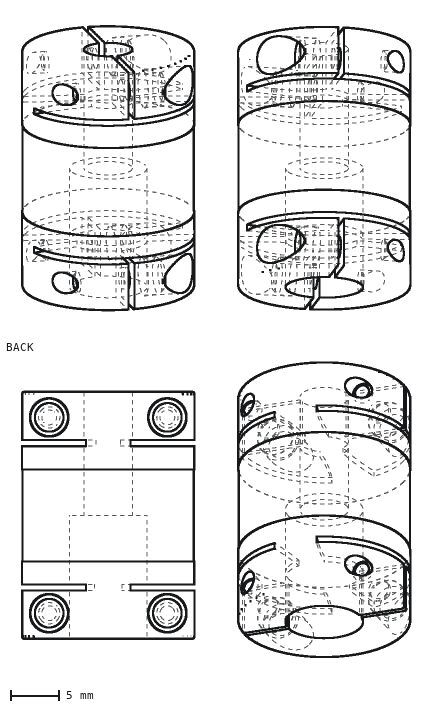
import cadquery as cq

length = 25.5
hub_radius = 8.9
hub_length = 8.0
sleeve_radius = 8.85
edge_round = 0.28

small_bore_radius = 2.5
large_bore_radius = 4.0

clamp_length = 5.0
cut_width = 0.6
cut_disc_radius = 33.92
cut_axis_gap = 1.2

screw_offset_x = 6.1
screw_inset = 2.65
screw_radius = 1.1
screw_tip_y = -5.28
screw_tip_chamfer = 0.33
head_radius = 1.95
head_seat_y = 2.05
head_height = 2.0
head_chamfer = 0.45
counterbore_radius = 2.0

clearance = 0.25

half_length = length / 2
signs = (-1, 1)


def disc_z(radius, z_start, height):
    """Cylinder along Z."""
    return cq.Workplane("XY", origin=(0, 0, z_start)).circle(radius).extrude(height)


def rod_y(radius, x, y_start, z, span):
    """Cylinder along +Y starting at y_start."""
    plane = cq.Plane(origin=(x, y_start, z), xDir=(1, 0, 0), normal=(0, 1, 0))
    return cq.Workplane(plane).circle(radius).extrude(span)


def make_body():
    """Two rounded hubs joined by a slightly slimmer sleeve, bored from both ends."""
    hub_cylinder = disc_z(hub_radius, -half_length, length)
    hub_cylinder = hub_cylinder.faces("<Z or >Z").edges().fillet(edge_round)
    sleeve_start = -half_length + hub_length
    sleeve_length = length - 2 * hub_length
    relief = disc_z(hub_radius + clearance, sleeve_start, sleeve_length)
    body = hub_cylinder.cut(relief).union(disc_z(sleeve_radius, sleeve_start, sleeve_length))
    body = body.cut(disc_z(small_bore_radius, -half_length, length))
    return body.cut(disc_z(large_bore_radius, -half_length, half_length))


def make_cross_cut(end, side):
    """Disc-shaped cut entering a hub from one X side, its rim curving in towards the axis."""
    cut_start = end * (half_length - clamp_length - cut_width / 2) - cut_width / 2
    disc_center_x = side * (cut_axis_gap + cut_disc_radius)
    return disc_z(cut_disc_radius, cut_start, cut_width).translate((disc_center_x, 0, 0))


def make_jaw_split(end):
    """Vertical slit that parts the end of a hub into two jaws."""
    split_height = clamp_length + cut_width / 2
    split_middle = end * (half_length - split_height / 2)
    split_length = 2 * (hub_radius + clearance)
    return cq.Workplane("XY", origin=(0, 0, split_middle)).box(split_length, cut_width, split_height)


def make_screw_hole(x, z):
    """Through hole with a counterbore opening on the +Y side."""
    hole = rod_y(screw_radius, x, -hub_radius, z, 2 * hub_radius)
    return hole.union(rod_y(counterbore_radius, x, head_seat_y, z, hub_radius))


def make_screw(x, z):
    """Cap screw chamfered at both ends, its head resting on the counterbore floor."""
    shank = rod_y(screw_radius, x, screw_tip_y, z, head_seat_y - screw_tip_y)
    shank = shank.faces("<Y").chamfer(screw_tip_chamfer)
    head = rod_y(head_radius, x, head_seat_y, z, head_height)
    head = head.faces(">Y").chamfer(head_chamfer)
    return shank.union(head)


result = make_body()
for end in signs:
    result = result.cut(make_jaw_split(end))
    for side in signs:
        result = result.cut(make_cross_cut(end, side))

for end in signs:
    screw_z = end * (half_length - screw_inset)
    for side in signs:
        screw_x = side * screw_offset_x
        result = result.cut(make_screw_hole(screw_x, screw_z))
        result = result.union(make_screw(screw_x, screw_z))